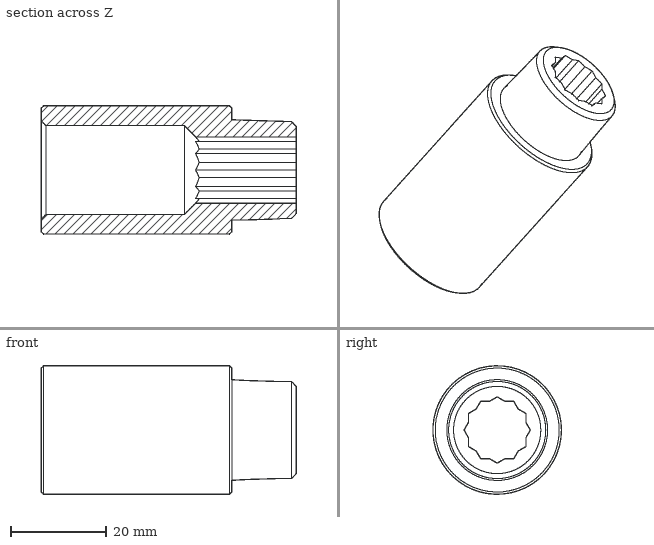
import cadquery as cq
import math

total_length = 53.5
body_diameter = 27.0
body_length = 40.0
body_chamfer = 0.5

neck_root_diameter = 21.15
neck_taper = 1 / 16
neck_chamfer = 1.0

bore_diameter = 18.63
bore_depth = 30.0
bore_chamfer = 1.0
bottom_half_angle = 45.0
socket_across_flats = 12.0
socket_hexagons = 2
HEXAGON_SIDES = 6

body_radius = body_diameter / 2
neck_root_radius = neck_root_diameter / 2
bore_radius = bore_diameter / 2
half_length = total_length / 2
open_end = -half_length
shoulder = open_end + body_length
bore_end = open_end + bore_depth
neck_half_angle = math.atan(neck_taper / 2)
neck_end_radius = neck_root_radius - (half_length - shoulder) * neck_taper / 2


def revolve_about_x(profile):
    """Close a half profile and turn it around the part's axis."""
    return profile.close().revolve(360, (0, 0, 0), (1, 0, 0))


def outer_body():
    """Chamfered cylinder and neck, turned from one half profile."""
    profile = (
        cq.Workplane("XY")
        .moveTo(open_end, 0)
        .lineTo(open_end, body_radius - body_chamfer)
        .lineTo(open_end + body_chamfer, body_radius)
        .lineTo(shoulder - body_chamfer, body_radius)
        .lineTo(shoulder, body_radius - body_chamfer)
        .lineTo(shoulder, neck_root_radius)
        .lineTo(
            half_length - neck_chamfer * math.cos(neck_half_angle),
            neck_end_radius + neck_chamfer * math.sin(neck_half_angle),
        )
        .lineTo(half_length, neck_end_radius - neck_chamfer)
        .lineTo(half_length, 0)
    )
    return revolve_about_x(profile)


def bore():
    """Bore with a chamfered mouth and a conical bottom."""
    cone_length = bore_radius / math.tan(math.radians(bottom_half_angle))
    profile = (
        cq.Workplane("XY")
        .moveTo(open_end, 0)
        .lineTo(open_end, bore_radius + bore_chamfer)
        .lineTo(open_end + bore_chamfer, bore_radius)
        .lineTo(bore_end, bore_radius)
        .lineTo(bore_end + cone_length, 0)
    )
    return revolve_about_x(profile)


def socket():
    """Twelve-point prism: equal hexagons turned about the axis, from the bore to the neck end."""
    across_corners = socket_across_flats / math.cos(math.pi / HEXAGON_SIDES)
    hexagon = (
        cq.Workplane("YZ", origin=(bore_end, 0, 0))
        .polygon(HEXAGON_SIDES, across_corners)
        .extrude(half_length - bore_end)
    )
    turn = 360 / HEXAGON_SIDES / socket_hexagons
    points = hexagon
    for index in range(1, socket_hexagons):
        points = points.union(hexagon.rotate((0, 0, 0), (1, 0, 0), index * turn))
    return points


result = outer_body().cut(bore()).cut(socket())